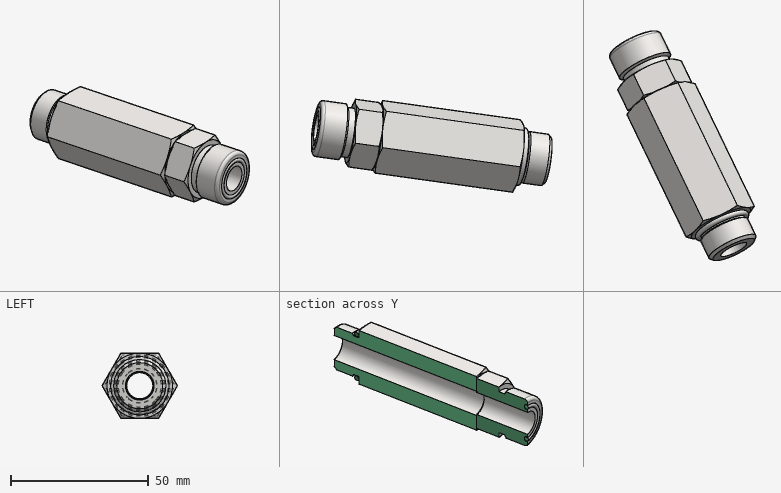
import cadquery as cq
import math

TOTAL_LENGTH = 86.5

THREAD_RUNOUT_X = 8.1
BODY_HEX_START = 11.0
BODY_HEX_END = 63.4
FITTING_HEX_END = 73.3
FITTING_THREAD_START = 75.75
FACE_SEAL_PROTRUSION = 0.4
FITTING_END = TOTAL_LENGTH - FACE_SEAL_PROTRUSION

BODY_CORNERS = 27.5
BODY_FLATS = BODY_CORNERS * math.cos(math.radians(30))
FITTING_FLATS = 22.2
HEX_CHAMFER_ANGLE = 20.0

BODY_THREAD_DIAMETER = 19.0
BODY_NECK_DIAMETER = 17.3
BODY_BORE_DIAMETER = 10.5
INLET_CHAMFER = 1.1

FITTING_THREAD_DIAMETER = 20.7
FITTING_NECK_DIAMETER = 18.25
FITTING_BORE_DIAMETER = 9.5
OUTLET_FILLET = 1.3

RUNOUT_ANGLE = 30.0

NECK_SEAL_SECTION = 2.0
NECK_SEAL_MEAN_DIAMETER = BODY_NECK_DIAMETER + NECK_SEAL_SECTION
NECK_SEAL_X = BODY_HEX_START - NECK_SEAL_SECTION / 2
FACE_SEAL_SECTION = 1.7
FACE_SEAL_OUTER_DIAMETER = 15.8
FACE_SEAL_MEAN_DIAMETER = FACE_SEAL_OUTER_DIAMETER - FACE_SEAL_SECTION
FACE_SEAL_X = TOTAL_LENGTH - FACE_SEAL_SECTION / 2


def cylinder(start, end, diameter):
    """Round bar along X."""
    return cq.Workplane("YZ", origin=(start, 0, 0)).circle(diameter / 2).extrude(end - start)


def runout_length(thread_diameter, neck_diameter):
    """Axial length of the taper between a thread and its neck."""
    return (thread_diameter - neck_diameter) / 2 * math.tan(math.radians(RUNOUT_ANGLE))


def revolve_about_x(profile):
    return profile.close().revolve(360, (0, 0, 0), (1, 0, 0))


def chamfered_hexagon(start, end, flats):
    """Hexagonal bar along X with its corners turned down to the flats at both ends."""
    corner_radius = flats / 2 / math.cos(math.radians(30))
    face_radius = flats / 2
    chamfer_length = (corner_radius - face_radius) * math.tan(math.radians(HEX_CHAMFER_ANGLE))
    hexagon = (
        cq.Workplane("YZ", origin=(start, 0, 0))
        .polygon(6, 2 * corner_radius)
        .extrude(end - start)
    )
    turned_envelope = revolve_about_x(
        cq.Workplane("XY")
        .moveTo(start, 0)
        .lineTo(start, face_radius)
        .lineTo(start + chamfer_length, corner_radius)
        .lineTo(end - chamfer_length, corner_radius)
        .lineTo(end, face_radius)
        .lineTo(end, 0)
    )
    return hexagon.intersect(turned_envelope)


def sealing_ring(center_x, mean_diameter, section):
    """O-ring around the X axis."""
    return (
        cq.Workplane("XY")
        .center(center_x, mean_diameter / 2)
        .circle(section / 2)
        .revolve(360, (-0.9, -mean_diameter / 2, 0), (0.9, -mean_diameter / 2, 0))
    )


def make_body():
    """Hexagonal housing with a threaded inlet stub."""
    thread_radius = BODY_THREAD_DIAMETER / 2
    neck_radius = BODY_NECK_DIAMETER / 2
    neck_start = THREAD_RUNOUT_X + runout_length(BODY_THREAD_DIAMETER, BODY_NECK_DIAMETER)
    stub = revolve_about_x(
        cq.Workplane("XY")
        .lineTo(0, thread_radius - INLET_CHAMFER)
        .lineTo(INLET_CHAMFER, thread_radius)
        .lineTo(THREAD_RUNOUT_X, thread_radius)
        .lineTo(neck_start, neck_radius)
        .lineTo(BODY_HEX_START, neck_radius)
        .lineTo(BODY_HEX_START, 0)
    )
    hexagon = chamfered_hexagon(BODY_HEX_START, BODY_HEX_END, BODY_FLATS)
    bore = cylinder(0, BODY_HEX_END, BODY_BORE_DIAMETER)
    return stub.union(hexagon).cut(bore)


def make_fitting():
    """Outlet fitting: hexagon, neck and thread, with a ring groove in its end face."""
    thread_radius = FITTING_THREAD_DIAMETER / 2
    neck_radius = FITTING_NECK_DIAMETER / 2
    full_thread_x = FITTING_THREAD_START + runout_length(FITTING_THREAD_DIAMETER, FITTING_NECK_DIAMETER)
    stub = revolve_about_x(
        cq.Workplane("XY")
        .moveTo(FITTING_HEX_END, 0)
        .lineTo(FITTING_HEX_END, neck_radius)
        .lineTo(FITTING_THREAD_START, neck_radius)
        .lineTo(full_thread_x, thread_radius)
        .lineTo(FITTING_END, thread_radius)
        .lineTo(FITTING_END, 0)
    )
    stub = stub.faces(">X").edges().fillet(OUTLET_FILLET)
    hexagon = chamfered_hexagon(BODY_HEX_END, FITTING_HEX_END, FITTING_FLATS)
    bore = cylinder(BODY_HEX_END, FITTING_END, FITTING_BORE_DIAMETER)
    groove = sealing_ring(FACE_SEAL_X, FACE_SEAL_MEAN_DIAMETER, FACE_SEAL_SECTION)
    return stub.union(hexagon).cut(bore).cut(groove)


body = make_body()
fitting = make_fitting()
neck_seal = sealing_ring(NECK_SEAL_X, NECK_SEAL_MEAN_DIAMETER, NECK_SEAL_SECTION)
face_seal = sealing_ring(FACE_SEAL_X, FACE_SEAL_MEAN_DIAMETER, FACE_SEAL_SECTION)

result = cq.Compound.makeCompound([body.val(), fitting.val(), neck_seal.val(), face_seal.val()])